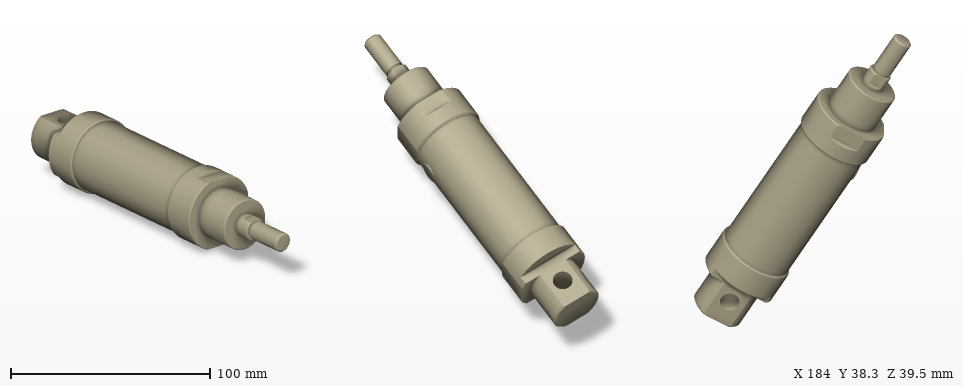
import cadquery as cq
import math


overall_length = 184.0
disc_start = 21.7
step_end = 26.1
tube_start = 40.0
tube_end = 115.7
front_flat_start = 125.5
boss_start = 133.5
boss_end = 153.6
rod_flat_start = 155.8
collar_end = 162.1
stud_start = 163.5

cap_diameter = 39.5
tube_diameter = 37.0
boss_diameter = 27.0
lug_diameter = boss_diameter
collar_diameter = 12.0
neck_diameter = 8.5
stud_diameter = 10.0
clevis_thickness = 22.0
front_cap_across_flats = 36.0
collar_across_flats = 10.0
side_flat_offset = tube_diameter / 2

flat_slope_angle = 30.0

pin_hole_diameter = 10.0
pin_hole_x = 12.9
pad_diameter = 10.5
pad_x = 105.6

lug_chamfer = 0.7
cap_chamfer = 0.5
front_cap_rear_chamfer = 1.0
boss_chamfer = 0.5
collar_chamfer = 0.5
stud_chamfer = 1.0


def cylinder(start, end, diameter):
    """Round bar along X between two stations."""
    return cq.Workplane("YZ", origin=(start, 0, 0)).circle(diameter / 2).extrude(end - start)


def block(x_range, y_range, z_range):
    """Axis-aligned box given by its limits."""
    size = [high - low for low, high in (x_range, y_range, z_range)]
    corner = (x_range[0], y_range[0], z_range[0])
    return cq.Workplane("XY").box(*size, centered=False).translate(corner)


def cut_side_flat(cap):
    """Flat on the +Y side of a cap, level with the side of the tube."""
    radius = cap_diameter / 2
    cutter = block((0, overall_length), (side_flat_offset, cap_diameter), (-radius, radius))
    return cap.cut(cutter)


def cut_wrench_flats(body, start, end, diameter, across_flats):
    """Two flats facing +Z and -Z, each starting with a steep slope."""
    radius = diameter / 2
    half_width = across_flats / 2
    rise = diameter - half_width
    run = rise * math.tan(math.radians(flat_slope_angle))
    cutter = (
        cq.Workplane("XZ", origin=(0, radius, 0))
        .moveTo(start, half_width)
        .lineTo(end, half_width)
        .lineTo(end, diameter)
        .lineTo(start - run, diameter)
        .close()
        .extrude(diameter)
    )
    return body.cut(cutter).cut(cutter.mirror("XY"))


def make_rear_cap():
    """Cap with a flat-sided clevis lug and a vertical pin hole."""
    lug = cylinder(0, disc_start, lug_diameter).faces("<X").chamfer(lug_chamfer)
    disc = cylinder(disc_start, tube_start, cap_diameter).faces("<X or >X").chamfer(cap_chamfer)
    cap = lug.union(disc)
    radius = cap_diameter / 2
    half_thickness = clevis_thickness / 2
    above_lug = block((0, step_end), (-radius, radius), (half_thickness, cap_diameter))
    cap = cap.cut(above_lug).cut(above_lug.mirror("XY"))
    pin_hole = (
        cq.Workplane("XY")
        .center(pin_hole_x, 0)
        .circle(pin_hole_diameter / 2)
        .extrude(half_thickness, both=True)
    )
    return cut_side_flat(cap.cut(pin_hole))


def make_tube():
    """Barrel between the caps, with a round pad on the +Y side, level with the cap flats."""
    tube = cylinder(tube_start, tube_end, tube_diameter)
    pad = cq.Workplane("XZ", origin=(pad_x, 0, 0)).circle(pad_diameter / 2).extrude(-side_flat_offset)
    return tube.union(pad)


def make_front_cap():
    """Cap with two wrench flats and a round boss on its outer face."""
    disc = cylinder(tube_end, boss_start, cap_diameter)
    disc = disc.faces("<X").chamfer(front_cap_rear_chamfer)
    disc = disc.faces(">X").chamfer(cap_chamfer)
    disc = cut_wrench_flats(disc, front_flat_start, boss_start, cap_diameter, front_cap_across_flats)
    boss = cylinder(boss_start, boss_end, boss_diameter).faces(">X").chamfer(boss_chamfer)
    return cut_side_flat(disc).union(boss)


def make_rod():
    """Rod end: collar with wrench flats, relief neck and stud."""
    collar = cylinder(boss_end, collar_end, collar_diameter).faces(">X").chamfer(collar_chamfer)
    collar = cut_wrench_flats(collar, rod_flat_start, collar_end, collar_diameter, collar_across_flats)
    neck = cylinder(collar_end, stud_start, neck_diameter)
    stud = cylinder(stud_start, overall_length, stud_diameter).faces(">X").chamfer(stud_chamfer)
    return collar.union(neck).union(stud)


rear_cap = make_rear_cap()
tube = make_tube()
front_cap = make_front_cap()
rod = make_rod()

result = cq.Compound.makeCompound([rear_cap.val(), tube.val(), front_cap.val(), rod.val()])